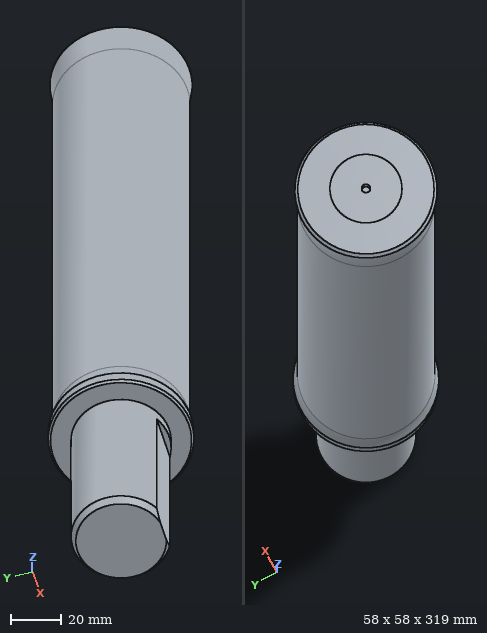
import cadquery as cq
import math

total_height = 319.0
sleeve_bottom = 70.0

sleeve_radius = 55.0 / 2
flange_radius = 58.0 / 2
flange_chamfer = 1.0
flange_top = 75.3
foot_flare_start = 82.3
rim_flare_start = 303.0
rim_radius = 28.5
rim_edge_drop = 2.2

crown_radius = 27.0
crown_rise = 1.0

journal_radius = 40.0 / 2
core_radius = 14.5
end_chamfer_width = 2.0
end_chamfer_height = 3.0
flat_width = 19.0
flat_top = 64.8
center_hole_diameter = 3.5
center_hole_depth = 3.2


def crown_point(radius):
    """Return the (radius, height) point on the shallow dome that caps both bodies."""
    dome_radius = (crown_radius**2 + crown_rise**2) / (2 * crown_rise)
    drop = dome_radius - math.sqrt(dome_radius**2 - radius**2)
    return radius, total_height - drop


def make_sleeve():
    """Revolve the flared tube around the Z axis."""
    flare_width = flange_radius - sleeve_radius
    flare_height = foot_flare_start - flange_top
    flare_arc_radius = (flare_width**2 + flare_height**2) / (2 * flare_width)
    half_angle = math.asin(flare_height / flare_arc_radius) / 2
    foot_flare_middle = (
        sleeve_radius + flare_arc_radius * (1 - math.cos(half_angle)),
        foot_flare_start - flare_arc_radius * math.sin(half_angle),
    )

    crown_middle_radius = (crown_radius + core_radius) / 2

    return (
        cq.Workplane("XZ")
        .moveTo(core_radius, sleeve_bottom)
        .lineTo(flange_radius - flange_chamfer, sleeve_bottom)
        .lineTo(flange_radius, sleeve_bottom + flange_chamfer)
        .lineTo(flange_radius, flange_top)
        .threePointArc(foot_flare_middle, (sleeve_radius, foot_flare_start))
        .lineTo(sleeve_radius, rim_flare_start)
        .tangentArcPoint((rim_radius, total_height - rim_edge_drop), relative=False)
        .lineTo(*crown_point(crown_radius))
        .threePointArc(crown_point(crown_middle_radius), crown_point(core_radius))
        .close()
        .revolve(360, (0, 0, 0), (0, 1, 0))
    )


def make_shaft():
    """Turn the stepped shaft, then cut its drive flat and center hole."""
    blank = (
        cq.Workplane("XZ")
        .lineTo(journal_radius - end_chamfer_width, 0)
        .lineTo(journal_radius, end_chamfer_height)
        .lineTo(journal_radius, sleeve_bottom)
        .lineTo(core_radius, sleeve_bottom)
        .lineTo(*crown_point(core_radius))
        .threePointArc(crown_point(core_radius / 2), crown_point(0))
        .close()
        .revolve(360, (0, 0, 0), (0, 1, 0))
    )

    flat_distance = math.sqrt(journal_radius**2 - (flat_width / 2) ** 2)
    flat_cutter = cq.Workplane("XY").box(
        2 * journal_radius, journal_radius, flat_top, centered=(True, False, False)
    ).translate((0, -flat_distance - journal_radius, 0))

    center_hole = (
        cq.Workplane("XY", origin=(0, 0, total_height))
        .circle(center_hole_diameter / 2)
        .extrude(-center_hole_depth)
    )
    return blank.cut(flat_cutter).cut(center_hole)


sleeve = make_sleeve()
shaft = make_shaft()

result = cq.Compound.makeCompound([sleeve.val(), shaft.val()])